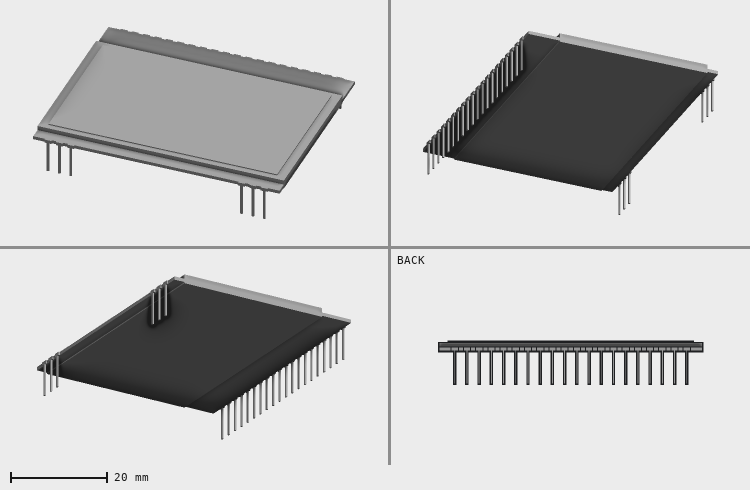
import cadquery as cq

total_height = 9.0

plate_length = 55.0
plate_width = 43.0
plate_thickness = 0.75

body_width = 33.5
body_thickness = 2.0
body_rise = 1.0
front_ledge = 2.45

film_length = 51.0
film_width = 31.0
film_thickness = 0.25

pin_pitch = 2.54
pin_count = 20
front_pins_per_end = 3
pin_thickness = 0.3
clip_width = 1.5
leg_width = 0.5

body_top = total_height - film_thickness
body_bottom = body_top - body_thickness
plate_top = body_top - body_rise
plate_bottom = plate_top - plate_thickness
body_center_y = -plate_width / 2 + front_ledge + body_width / 2


def slab(length, width, bottom, top, center_x=0.0, center_y=0.0):
    """Rectangular block given by its footprint and its bottom and top heights."""
    block = cq.Workplane("XY").box(length, width, top - bottom, centered=(True, True, False))
    return block.translate((center_x, center_y, bottom))


def make_pin(index, side):
    """One pin on the +Y edge (side = 1) or the -Y edge (side = -1)."""
    x = (index - (pin_count - 1) / 2) * pin_pitch
    y = side * (plate_width + pin_thickness) / 2
    clip = slab(clip_width, pin_thickness, plate_bottom, plate_top, x, y)
    leg = slab(leg_width, pin_thickness, 0.0, plate_top, x, y)
    return clip.union(leg)


plate = slab(plate_length, plate_width, plate_bottom, plate_top)
body = slab(plate_length, body_width, body_bottom, body_top, center_y=body_center_y)
film = slab(film_length, film_width, body_top, total_height, center_y=body_center_y)
result = plate.union(body).union(film)

for index in range(pin_count):
    result = result.union(make_pin(index, side=1))
    is_front_pin = index < front_pins_per_end or index >= pin_count - front_pins_per_end
    if is_front_pin:
        result = result.union(make_pin(index, side=-1))